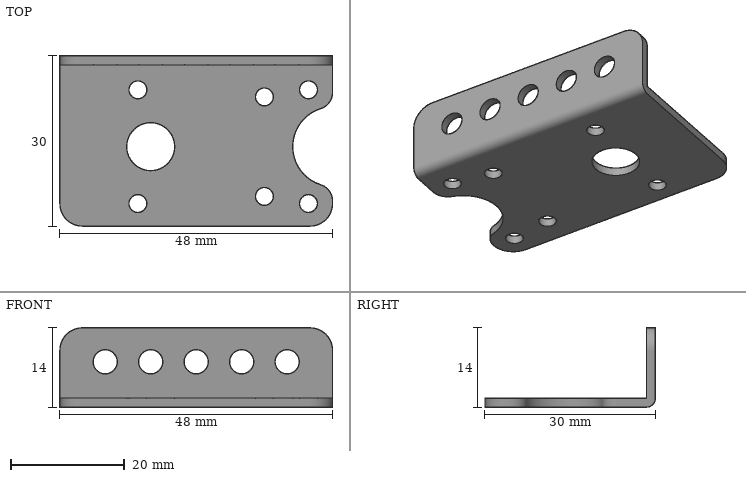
import cadquery as cq

length = 48.0
depth = 30.0
height = 14.0
thickness = 1.6
corner_radius = 4.0
bend_radius = thickness

axis_y = 14.0
shaft_hole_x = 16.0
shaft_hole_diameter = 8.4
screw_diameter = 3.1
outer_screw_spacing_x = 30.0
outer_screw_spacing_y = 20.0
outer_screw_end_distance = 4.25
inner_screw_x = 36.0
inner_screw_spacing_y = 17.5
notch_radius = 7.0
notch_lip_radius = 3.0

flange_hole_count = 5
flange_hole_spacing = 8.0
flange_hole_diameter = 4.2
flange_hole_z = 8.0


def angle_body():
    """L-shaped sheet with a rounded outer bend and a sharp inner corner."""
    base = cq.Workplane("XY").box(length, depth, thickness, centered=False)
    flange = (
        cq.Workplane("XY")
        .box(length, thickness, height, centered=False)
        .translate((0, depth - thickness, 0))
    )
    body = base.union(flange)
    body = body.edges("|X and >Y and <Z").fillet(bend_radius)
    body = body.edges("|Z and <Y").fillet(corner_radius)
    return body.edges("|Y and >Z").fillet(corner_radius)


def cut_notch(body):
    """Cut a notch centred on the end face of the base and round its two lips."""
    notch = (
        cq.Workplane("XY")
        .center(length, axis_y)
        .circle(notch_radius)
        .extrude(thickness)
    )
    body = body.cut(notch)
    lip_zone = cq.selectors.BoxSelector(
        (length - thickness, axis_y - notch_radius - thickness, -thickness),
        (length + thickness, axis_y + notch_radius + thickness, 2 * thickness),
    )
    return body.edges("|Z").edges(lip_zone).fillet(notch_lip_radius)


def base_holes(points, diameter):
    """Cutting cylinders through the base at the given points."""
    return (
        cq.Workplane("XY")
        .pushPoints(points)
        .circle(diameter / 2)
        .extrude(thickness)
    )


def screw_points():
    """Outer rectangle of four screws and the inner pair."""
    outer_right_x = length - outer_screw_end_distance
    outer_left_x = outer_right_x - outer_screw_spacing_x
    points = []
    for side in (-1, 1):
        outer_y = axis_y + side * outer_screw_spacing_y / 2
        inner_y = axis_y + side * inner_screw_spacing_y / 2
        points.append((outer_left_x, outer_y))
        points.append((outer_right_x, outer_y))
        points.append((inner_screw_x, inner_y))
    return points


def flange_holes():
    """Cutting cylinders in an even row through the flange, centred along its length."""
    first_x = length / 2 - flange_hole_spacing * (flange_hole_count - 1) / 2
    points = [
        (first_x + index * flange_hole_spacing, flange_hole_z)
        for index in range(flange_hole_count)
    ]
    return (
        cq.Workplane("XZ", origin=(0, depth, 0))
        .pushPoints(points)
        .circle(flange_hole_diameter / 2)
        .extrude(thickness)
    )


bracket = cut_notch(angle_body())
bracket = bracket.cut(base_holes([(shaft_hole_x, axis_y)], shaft_hole_diameter))
bracket = bracket.cut(base_holes(screw_points(), screw_diameter))
result = bracket.cut(flange_holes())